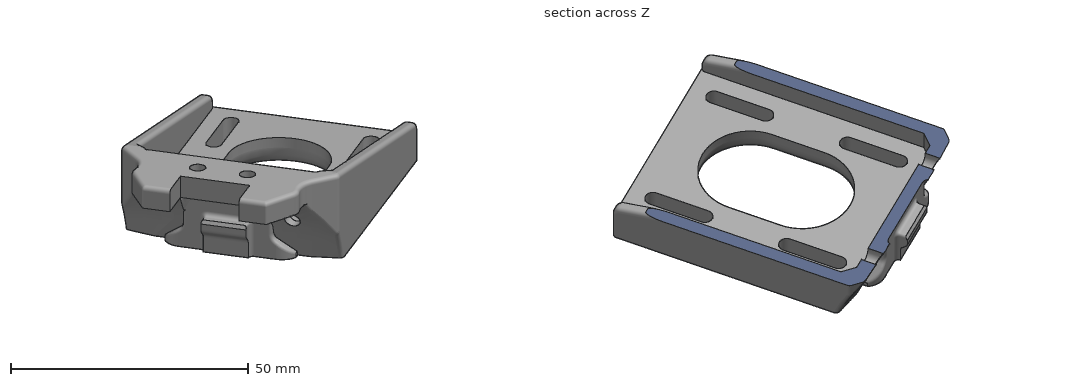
import cadquery as cq
import math


width = 48.2
length = 73.1
height = 20.51
half_width = width / 2
wall = 3.0
edge_radius = 1.0
overcut = 5.0
tolerance = 0.01

shoulder_y = 18.05
slope_start_y = 18.95
rail_rear_height = 8.65
rail_rear_radius = 2.0

plate_top = 5.8
pocket_front_y = slope_start_y - 0.08
pocket_corner = 2.5
slot_width = 3.4
slot_pitch = 31.0
slot_travel = 12.0
slot_centre_y = 45.97
opening_radius = 11.1
opening_flare_height = 3.4
opening_flare_radius = 5.6

tongue_thickness = 4.95
tongue_bottom = height - tongue_thickness
waist_half_width = 18.15
waist_radius = 5.0
hip_radius = 6.75 / 2
waist_exit_angle = math.radians(14)
flank_angle = math.radians(34)
nose_corner_radius = 0.5
notch_width = 15.3
notch_depth = 7.5
screw_hole = 3.4
tongue_hole_x = 5.5
tongue_hole_y = 12.7

wall_hole_x = 14.55
wall_hole_z = 9.85
panel_y = 15.95
knee_z = 8.7
brow_y = 11.65
outer_knee_y = 17.6
outer_knee_z = 7.0
foot_outer_y = 20.8
foot_inner_y = 18.4
centre_half_width = 11.95
relief_foot_y = 19.45
relief_top_y = 16.2
relief_top_z = 8.0

panel_half_width = 9.9
panel_depth = 5.0
panel_top = knee_z + 0.6
panel_flare_top = 4.6
panel_flare_radius = 2.0
panel_edge_radius = 0.7
foot_half_width = 14.5
foot_height = 1.1
foot_flat_half_width = 10.8
foot_curve_radius = 4.2
recess_radius = 2.0
recess_taper_z = 11.5
recess_end_radius = 0.4

latch_half_width = 5.0
latch_top = 8.0
latch_face_y = 14.9
latch_nose_y = 13.3
latch_nose_top = 7.2
latch_nose_bottom = 5.45
latch_nose_chamfer = 0.5
latch_throat_radius = 1.3
latch_corner_radius = 0.6
latch_root_radius = 1.0


def is_near(a, b):
    return abs(a - b) < tolerance


def round_edges(body, wanted, radius):
    edges = [edge for edge in body.edges().vals() if wanted(edge)]
    return body.newObject(edges).fillet(radius)


def is_upright(edge):
    return abs(edge.tangentAt(0).z) > 1 - tolerance


def both_sides(body):
    return body.union(body.mirror("YZ"))


def across(points, half_span):
    """Prism along X with a (Y, Z) outline, centred on X = 0."""
    return cq.Workplane("YZ").polyline(points).close().extrude(half_span, both=True)


def plan_block():
    """Block with the plan outline: straight sides, 45 degree shoulders, waist, hips and nose."""
    shoulder_angle = math.radians(45)
    waist_x = waist_half_width + waist_radius
    waist_start_x = waist_x - waist_radius * math.cos(shoulder_angle)
    waist_start_y = shoulder_y - (half_width - waist_start_x)
    waist_y = waist_start_y - waist_radius * math.sin(shoulder_angle)
    reach = waist_radius + hip_radius
    hip_x = waist_x - reach * math.cos(waist_exit_angle)
    hip_y = waist_y - reach * math.sin(waist_exit_angle)
    waist_end = (
        waist_x - waist_radius * math.cos(waist_exit_angle),
        waist_y - waist_radius * math.sin(waist_exit_angle),
    )
    flank_x = hip_x + hip_radius * math.cos(flank_angle)
    flank_y = hip_y - hip_radius * math.sin(flank_angle)
    nose_x = flank_x - flank_y * math.tan(flank_angle)
    half = (
        cq.Workplane("XY")
        .moveTo(0, length)
        .lineTo(half_width, length)
        .lineTo(half_width, shoulder_y)
        .lineTo(waist_start_x, waist_start_y)
        .threePointArc((waist_half_width, waist_y), waist_end)
        .threePointArc((hip_x + hip_radius, hip_y), (flank_x, flank_y))
        .lineTo(nose_x, 0)
        .lineTo(0, 0)
        .close()
        .extrude(height)
    )
    return both_sides(half).edges("|Z and <Y").fillet(nose_corner_radius)


def rail_slope_cutter():
    return across(
        [
            (slope_start_y, height),
            (length, rail_rear_height),
            (length + overcut, rail_rear_height),
            (length + overcut, height + overcut),
            (slope_start_y, height + overcut),
        ],
        width,
    )


def round_outer_edges(body):
    """Round the top of the tongue outline, the rail tops and the upright corners of the sides."""

    def wanted(edge):
        centre = edge.Center()
        on_tongue = is_near(centre.z, height) and centre.y < shoulder_y
        on_side = is_near(abs(centre.x), half_width) and centre.z > tolerance
        return on_tongue or on_side

    return round_edges(body, wanted, edge_radius)


def pocket():
    """Space between the rails, above the base plate and open at the rear."""
    inner = half_width - wall
    return (
        cq.Workplane("XY", origin=(0, 0, plate_top))
        .polyline(
            [
                (inner, length + overcut),
                (inner, pocket_front_y + pocket_corner),
                (inner - pocket_corner, pocket_front_y),
                (pocket_corner - inner, pocket_front_y),
                (-inner, pocket_front_y + pocket_corner),
                (-inner, length + overcut),
            ]
        )
        .close()
        .extrude(height)
    )


def round_pocket_rim(body):
    """Round the inner edges of the rails and the top rear edge of the front wall."""

    def wanted(edge):
        centre = edge.Center()
        inside = abs(centre.x) < half_width - wall + tolerance
        behind_wall = centre.y > pocket_front_y - tolerance
        above_plate = centre.z > plate_top + tolerance
        inner_corner = is_upright(edge) and not is_near(centre.y, length)
        along_x = is_near(abs(edge.tangentAt(0).x), 1)
        across_rail = along_x and not is_near(centre.y, pocket_front_y)
        return inside and behind_wall and above_plate and not inner_corner and not across_rail

    return round_edges(body, wanted, edge_radius)


def wall_section(x, foot_y, knee):
    """Section at one X of the open space before the front wall, bounded by its curved face."""
    return (
        cq.Workplane("YZ", origin=(x, 0, 0))
        .moveTo(foot_y, 0)
        .spline([knee, (brow_y, tongue_bottom)], includeCurrent=True)
        .lineTo(-overcut, tongue_bottom)
        .lineTo(-overcut, 0)
        .close()
    )


def front_wall_cutter():
    """Open space below the tongue: constant in the middle, leaning back towards the sides."""
    inner_knee = (panel_y, knee_z)
    outer_knee = (outer_knee_y, outer_knee_z)
    middle = wall_section(0, foot_inner_y, inner_knee).extrude(centre_half_width, both=True)
    inner_wire = wall_section(centre_half_width, foot_inner_y, inner_knee).wires().val()
    outer_wire = wall_section(half_width, foot_outer_y, outer_knee).wires().val()
    side = cq.Workplane(cq.Solid.makeLoft([inner_wire, outer_wire], True))
    return middle.union(both_sides(side))


def foot_relief_cutter():
    """Flat relief at the foot of the wall, meeting the curved face along a diagonal."""
    return across(
        [(relief_foot_y, 0), (relief_top_y, relief_top_z), (0, relief_top_z), (0, 0)],
        half_width,
    )


def round_wall_sides(body):
    """Round the edges between the curved front wall and the sides, shoulders and waist."""

    def wanted(edge):
        centre = edge.Center()
        outside = abs(centre.x) > waist_half_width
        beside_wall = 0 < centre.z < tongue_bottom - tolerance and centre.y < foot_outer_y
        return edge.geomType() == "BSPLINE" and outside and beside_wall and not is_near(centre.z, 0)

    return round_edges(body, wanted, edge_radius)


def recess_section(z, corner_radius):
    """Plan section of the recess above the centre panel, with rounded rear corners."""
    corner_x = panel_half_width - corner_radius
    corner_y = panel_y - corner_radius
    return (
        cq.Workplane("XY", origin=(0, 0, z))
        .moveTo(-panel_half_width, 0)
        .lineTo(-panel_half_width, corner_y)
        .radiusArc((-corner_x, panel_y), corner_radius)
        .lineTo(corner_x, panel_y)
        .radiusArc((panel_half_width, corner_y), corner_radius)
        .lineTo(panel_half_width, 0)
        .close()
    )


def recess_cutter():
    upper = recess_section(recess_taper_z, recess_radius).extrude(tongue_bottom - recess_taper_z)
    taper_top = recess_section(recess_taper_z, recess_radius).wires().val()
    taper_bottom = recess_section(knee_z, recess_end_radius).wires().val()
    lower = cq.Workplane(cq.Solid.makeLoft([taper_bottom, taper_top], True))
    return upper.union(lower)


def centre_panel():
    """Upright panel below the recess, spreading into two feet whose sides curve back."""
    right_side = [
        (panel_half_width, panel_top),
        (panel_half_width, panel_flare_top),
        (foot_half_width, foot_height),
        (foot_half_width, 0),
    ]
    left_side = [(-x, z) for x, z in reversed(right_side)]
    face = cq.Workplane("XZ", origin=(0, panel_y, 0)).polyline(right_side + left_side).close()
    spread = round_edges(
        face.extrude(-panel_depth),
        lambda edge: is_near(edge.Center().z, panel_flare_top),
        panel_flare_radius,
    )

    rear_y = panel_y + panel_depth
    curve_width = foot_half_width - foot_flat_half_width
    curve_depth = foot_curve_radius - math.sqrt(foot_curve_radius**2 - curve_width**2)
    side_y = panel_y + curve_depth
    plan = (
        cq.Workplane("XY")
        .moveTo(-foot_flat_half_width, panel_y)
        .lineTo(foot_flat_half_width, panel_y)
        .radiusArc((foot_half_width, side_y), -foot_curve_radius)
        .lineTo(foot_half_width, rear_y)
        .lineTo(-foot_half_width, rear_y)
        .lineTo(-foot_half_width, side_y)
        .radiusArc((-foot_flat_half_width, panel_y), -foot_curve_radius)
        .close()
        .extrude(panel_top)
    )

    def outline_edge(edge):
        centre = edge.Center()
        at_front = is_near(centre.y, panel_y)
        foot_seam = is_near(abs(centre.x), foot_flat_half_width)
        return at_front and not foot_seam and tolerance < centre.z < panel_top - tolerance

    panel = round_edges(spread.intersect(plan), outline_edge, panel_edge_radius)
    return panel.cut(pocket())


def latch():
    """Snap latch: a root block on the centre panel with a hooked nose."""
    throat_z = latch_nose_bottom - (latch_face_y - latch_nose_y)
    hook = across(
        [
            (panel_y, 0),
            (latch_face_y, 0),
            (latch_face_y, throat_z),
            (latch_nose_y, latch_nose_bottom),
            (latch_nose_y, latch_nose_top),
            (latch_nose_y + latch_nose_chamfer, latch_top),
            (panel_y, latch_top),
        ],
        latch_half_width,
    )

    def throat_edge(edge):
        z = edge.Center().z
        return is_near(edge.Center().x, 0) and (is_near(z, throat_z) or is_near(z, latch_nose_bottom))

    def side_edge(edge):
        centre = edge.Center()
        on_side = is_near(abs(centre.x), latch_half_width)
        return on_side and is_near(centre.z, latch_top)

    hook = round_edges(hook, throat_edge, latch_throat_radius)
    return round_edges(hook, side_edge, latch_corner_radius)


def blend_latch_root(body):
    """Concave blend where the latch grows out of the centre panel."""

    def wanted(edge):
        centre = edge.Center()
        beside_latch = abs(centre.x) < latch_half_width + tolerance
        level = tolerance < centre.z < latch_top + tolerance
        return is_near(centre.y, panel_y) and beside_latch and level

    return round_edges(body, wanted, latch_root_radius)


def notch_cutter():
    return cq.Workplane("XY").rect(notch_width, 2 * notch_depth).extrude(height)


def slot_cutter():
    return (
        cq.Workplane("XY", origin=(0, slot_centre_y, 0))
        .rect(slot_pitch, slot_pitch, forConstruction=True)
        .vertices()
        .slot2D(slot_travel + slot_width, slot_width, 90)
        .extrude(plate_top)
    )


def opening_profile(plane, end_y):
    """Half section of the central opening, flaring outwards towards the underside."""
    radius = opening_flare_radius
    flare = radius - math.sqrt(radius**2 - opening_flare_height**2)
    return (
        cq.Workplane(plane, origin=(0, end_y, 0))
        .lineTo(opening_radius + flare, 0)
        .radiusArc((opening_radius, opening_flare_height), radius)
        .lineTo(opening_radius, plate_top)
        .lineTo(0, plate_top)
        .close()
    )


def opening_cutter():
    front_y = slot_centre_y - slot_travel / 2
    rear_y = slot_centre_y + slot_travel / 2
    cutter = both_sides(opening_profile("XZ", front_y).extrude(-slot_travel))
    for end_y in (front_y, rear_y):
        cutter = cutter.union(opening_profile("XZ", end_y).revolve(360, (0, 0), (0, 1)))
    return cutter


def tongue_hole_cutter():
    """Two upright screw holes through the tongue only."""
    return (
        cq.Workplane("XY", origin=(0, tongue_hole_y, tongue_bottom))
        .pushPoints([(-tongue_hole_x, 0), (tongue_hole_x, 0)])
        .circle(screw_hole / 2)
        .extrude(tongue_thickness)
    )


def wall_hole_cutter():
    """Two level screw holes through the front wall."""
    return (
        cq.Workplane("XZ")
        .pushPoints([(-wall_hole_x, wall_hole_z), (wall_hole_x, wall_hole_z)])
        .circle(screw_hole / 2)
        .extrude(-slot_centre_y)
    )


body = plan_block().cut(rail_slope_cutter())
body = body.edges("|X").edges(">Y").edges(">Z").fillet(rail_rear_radius)
body = round_outer_edges(body)
body = round_pocket_rim(body.cut(pocket()))

body = round_wall_sides(body.cut(front_wall_cutter()))
body = body.cut(foot_relief_cutter())
body = body.cut(recess_cutter())
body = body.union(centre_panel())
body = blend_latch_root(body.union(latch()))

for cutter in (
    notch_cutter(),
    slot_cutter(),
    opening_cutter(),
    tongue_hole_cutter(),
    wall_hole_cutter(),
):
    body = body.cut(cutter)

result = body